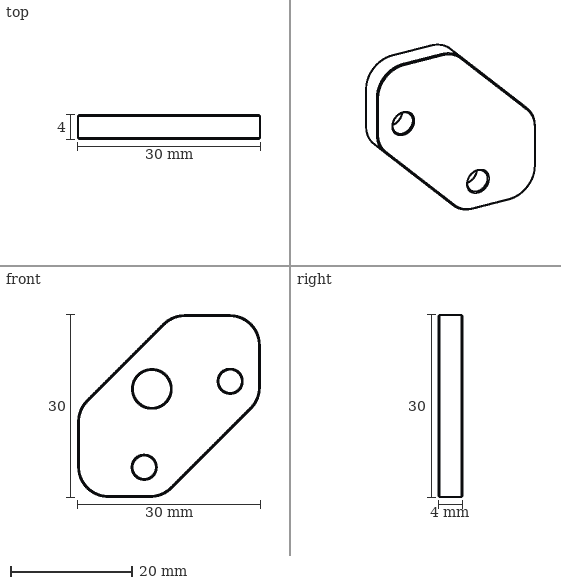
import cadquery as cq

side = 30.0
thickness = 4.0
upper_cut = 15.55
lower_cut = 16.02
corner_radius = 5.0
edge_chamfer = 0.2

hole_diameter = 3.8
hole_near = 4.08
hole_far = 10.08
hole_centres = [(-hole_near, -hole_far), (hole_far, hole_near)]

pocket_diameter = 6.2
pocket_depth = 2.0
pocket_offset = 2.82

half_side = side / 2
front_y = -thickness / 2


def chamfered_cutter(x, z, diameter, depth, back_chamfer=False):
    """Round cutter entering the front face, widened at its mouth."""
    radius = diameter / 2
    mouth_radius = radius + edge_chamfer
    outline = (
        cq.Workplane("XY")
        .moveTo(0, 0)
        .lineTo(mouth_radius, 0)
        .lineTo(radius, edge_chamfer)
    )
    if back_chamfer:
        outline = outline.lineTo(radius, depth - edge_chamfer).lineTo(mouth_radius, depth)
    else:
        outline = outline.lineTo(radius, depth)
    cutter = outline.lineTo(0, depth).close().revolve(360, (0, 0, 0), (0, 1, 0))
    return cutter.translate((x, front_y, z))


def make_plate():
    outline = [
        (-half_side, -half_side),
        (half_side - lower_cut, -half_side),
        (half_side, lower_cut - half_side),
        (half_side, half_side),
        (upper_cut - half_side, half_side),
        (-half_side, half_side - upper_cut),
    ]
    plate = cq.Workplane("XZ").polyline(outline).close().extrude(thickness / 2, both=True)
    plate = plate.edges("|Y").fillet(corner_radius)
    return plate.faces("<Y or >Y").edges().chamfer(edge_chamfer)


result = make_plate()
for hole_x, hole_z in hole_centres:
    result = result.cut(chamfered_cutter(hole_x, hole_z, hole_diameter, thickness, back_chamfer=True))
result = result.cut(chamfered_cutter(-pocket_offset, pocket_offset, pocket_diameter, pocket_depth))